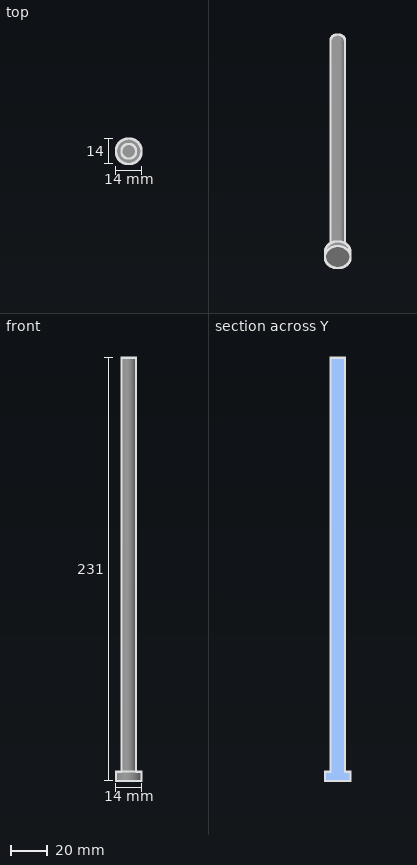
import cadquery as cq

total_length = 231.0
head_diameter = 14.0
head_height = 5.0
shank_diameter = 8.0

head = cq.Workplane("XY").circle(head_diameter / 2).extrude(head_height)
shank = cq.Workplane("XY").circle(shank_diameter / 2).extrude(total_length)

result = head.union(shank)